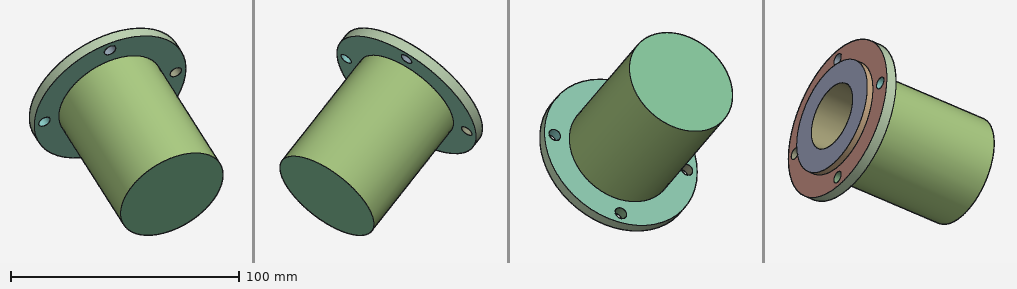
import cadquery as cq

pilot_length = 3.0
flange_thickness = 5.0
overall_length = 69.5
barrel_length = overall_length - pilot_length - flange_thickness

pilot_diameter = 53.0
flange_diameter = 74.0
barrel_diameter = 50.0
bore_diameter = 31.0

end_wall = (barrel_diameter - bore_diameter) / 2
bore_depth = overall_length - end_wall

bolt_hole_count = 4
bolt_hole_diameter = 5.5
bolt_circle_diameter = 64.0


def cylinder_along_x(start_x, length, diameter):
    """Solid cylinder centred on the X axis, extending toward +X from start_x."""
    return cq.Workplane("YZ", origin=(start_x, 0, 0)).circle(diameter / 2).extrude(length)


def bolt_holes():
    """Cutters for the through holes, evenly spaced with the first one on the Y axis."""
    return (
        cq.Workplane("YZ", origin=(pilot_length, 0, 0))
        .polarArray(bolt_circle_diameter / 2, 0, 360, bolt_hole_count)
        .circle(bolt_hole_diameter / 2)
        .extrude(flange_thickness)
    )


pilot = cylinder_along_x(0, pilot_length, pilot_diameter)
flange = cylinder_along_x(pilot_length, flange_thickness, flange_diameter)
barrel = cylinder_along_x(pilot_length + flange_thickness, barrel_length, barrel_diameter)
body = pilot.union(flange).union(barrel)

bore = cylinder_along_x(0, bore_depth, bore_diameter)

result = body.cut(bore).cut(bolt_holes())